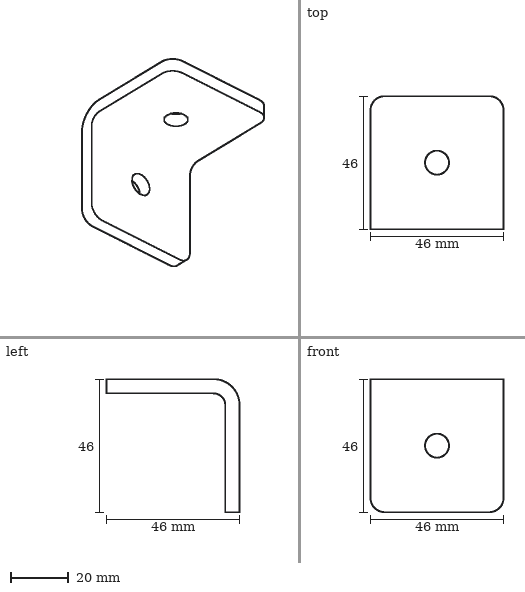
import cadquery as cq

width = 46.0
leg_length = 46.0
thickness = 5.0
inner_bend_radius = 4.0
corner_radius = 5.0
hole_diameter = 8.2

outer_bend_radius = inner_bend_radius + thickness
hole_offset = leg_length / 2


def bent_plate():
    """L-shaped plate: horizontal leg along +Y, vertical leg along -Z, bent at Y = Z = 0."""
    sharp_profile = [
        (0, 0),
        (leg_length, 0),
        (leg_length, -thickness),
        (thickness, -thickness),
        (thickness, -leg_length),
        (0, -leg_length),
    ]
    plate = cq.Workplane("YZ").polyline(sharp_profile).close().extrude(width / 2, both=True)
    outer_bend_edge = cq.selectors.NearestToPointSelector((0, 0, 0))
    inner_bend_edge = cq.selectors.NearestToPointSelector((0, thickness, -thickness))
    plate = plate.edges("|X").edges(inner_bend_edge).fillet(inner_bend_radius)
    return plate.edges("|X").edges(outer_bend_edge).fillet(outer_bend_radius)


def round_free_corners(plate):
    """Round the two corners at the free end of each leg."""
    plate = plate.faces(">Y").edges("|Z").fillet(corner_radius)
    return plate.faces("<Z").edges("|Y").fillet(corner_radius)


def leg_holes():
    """Cylinders that cut one centred through hole in each leg."""
    radius = hole_diameter / 2
    horizontal_leg_hole = cq.Solid.makeCylinder(
        radius, thickness, cq.Vector(0, hole_offset, -thickness), cq.Vector(0, 0, 1)
    )
    vertical_leg_hole = cq.Solid.makeCylinder(
        radius, thickness, cq.Vector(0, 0, -hole_offset), cq.Vector(0, 1, 0)
    )
    return [horizontal_leg_hole, vertical_leg_hole]


result = round_free_corners(bent_plate())
for hole in leg_holes():
    result = result.cut(hole)